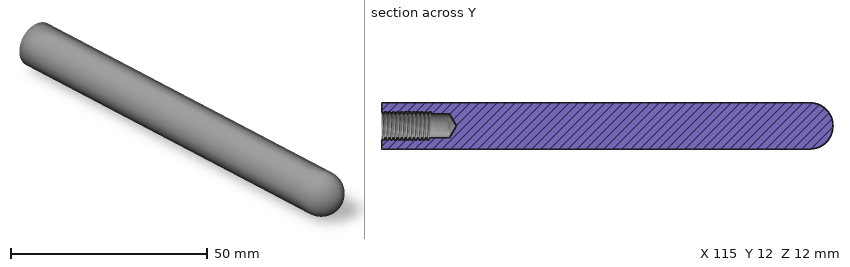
import cadquery as cq

length = 115.0
rod_diameter = 12.0
rod_radius = rod_diameter / 2
dome_start = length - rod_radius

bore_radius = 3.0
thread_root_radius = 3.6
thread_pitch = 1.0
thread_start_angle = -145
thread_turns = 12
thread_length = thread_turns * thread_pitch
groove_mouth_width = 0.75 * thread_pitch
groove_root_width = 0.3 * thread_pitch
hole_depth = 17.2
drill_point_depth = 1.7
cut_overlap = 0.06


def domed_rod():
    """Cylinder with a flat end at X = 0 and a hemispherical far end."""
    profile = (
        cq.Workplane("XY")
        .lineTo(0, rod_radius)
        .lineTo(dome_start, rod_radius)
        .radiusArc((length, 0), rod_radius)
        .close()
    )
    return profile.revolve(360, (0, 0, 0), (1, 0, 0))


def blind_hole():
    """Solid of the material removed by drilling."""
    profile = (
        cq.Workplane("XY")
        .lineTo(0, bore_radius)
        .lineTo(hole_depth, bore_radius)
        .lineTo(hole_depth + drill_point_depth, 0)
        .close()
    )
    return profile.revolve(360, (0, 0, 0), (1, 0, 0))


def thread_groove():
    """Helical trapezoidal groove around the bore, starting outside the flat end."""
    inner_radius = bore_radius - cut_overlap
    helix = cq.Wire.makeHelix(
        thread_pitch,
        thread_length + thread_pitch,
        bore_radius,
    )
    profile = cq.Workplane("XZ").polyline(
        [
            (inner_radius, -groove_mouth_width / 2),
            (thread_root_radius, -groove_root_width / 2),
            (thread_root_radius, groove_root_width / 2),
            (inner_radius, groove_mouth_width / 2),
        ]
    ).close()
    groove = profile.sweep(cq.Workplane(helix), isFrenet=True)
    groove = groove.rotate((0, 0, 0), (0, 1, 0), 90)
    groove = groove.translate((-thread_pitch, 0, 0))
    return groove.rotate((0, 0, 0), (1, 0, 0), thread_start_angle)


result = domed_rod().cut(blind_hole()).cut(thread_groove())